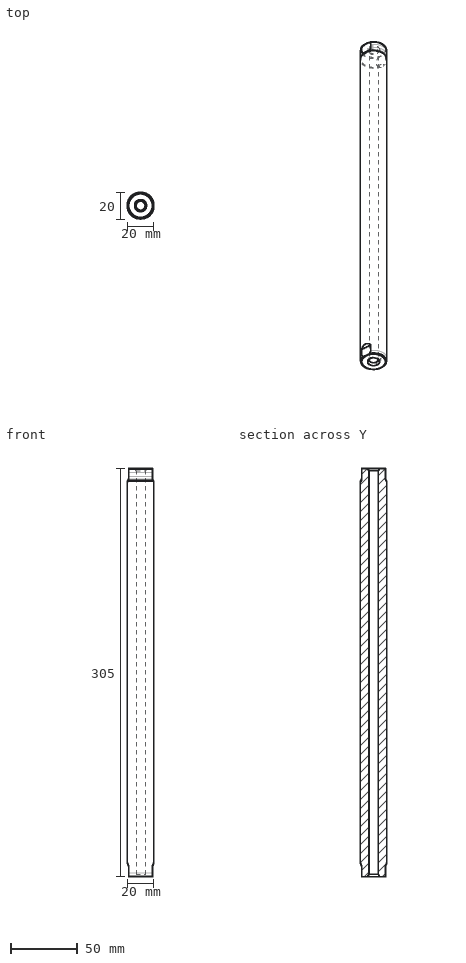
import cadquery as cq

length = 305.0
rod_diameter = 20.0
rod_radius = rod_diameter / 2

end_taper_height = 3.0
end_taper_width = 0.4
end_chamfer_width = 0.8
end_chamfer_height = 0.5

groove_depth_from_top = 6.0
groove_taper_height = 1.7
groove_diameter = 19.3
shoulder_depth = 9.0
shoulder_taper_height = 0.6

bore_diameter = 6.8
mouth_diameter = 9.0
mouth_depth = 1.9

across_flats = 18.0
flat_length = 8.1
top_flat_runout = 2.0
bottom_flat_runout = 2.5


def make_rod():
    """Revolve the rod profile about Z, from the bottom end up."""
    groove_radius = groove_diameter / 2
    taper_radius = rod_radius - end_taper_width
    end_radius = taper_radius - end_chamfer_width
    shoulder_z = length - shoulder_depth
    groove_top_z = length - groove_depth_from_top
    profile = (
        cq.Workplane("XZ")
        .moveTo(0, 0)
        .lineTo(end_radius, 0)
        .lineTo(taper_radius, end_chamfer_height)
        .lineTo(rod_radius, end_taper_height)
        .lineTo(rod_radius, shoulder_z - shoulder_taper_height)
        .lineTo(groove_radius, shoulder_z)
        .lineTo(groove_radius, groove_top_z - groove_taper_height)
        .lineTo(rod_radius, groove_top_z)
        .lineTo(rod_radius, length - end_taper_height)
        .lineTo(taper_radius, length - end_chamfer_height)
        .lineTo(end_radius, length)
        .lineTo(0, length)
        .close()
    )
    return profile.revolve(360, (0, 0, 0), (0, 1, 0))


def make_bore():
    """Cutter for the through bore and its two countersunk mouths."""
    bore_radius = bore_diameter / 2
    mouth_radius = mouth_diameter / 2
    profile = (
        cq.Workplane("XZ")
        .moveTo(0, 0)
        .lineTo(mouth_radius, 0)
        .lineTo(bore_radius, mouth_depth)
        .lineTo(bore_radius, length - mouth_depth)
        .lineTo(mouth_radius, length)
        .lineTo(0, length)
        .close()
    )
    return profile.revolve(360, (0, 0, 0), (0, 1, 0))


def make_flat(side, end_z, inward, runout_length):
    """Cutter for one flat.

    side is -1 for -X or +1 for +X, end_z is the rod end the flat starts from,
    and inward is the Z direction (+1 or -1) leading from that end into the rod.
    """
    flat_x = side * across_flats / 2
    surface_x = side * rod_radius
    flat_end_z = end_z + inward * flat_length
    runout_end_z = flat_end_z + inward * runout_length
    profile = (
        cq.Workplane("XZ")
        .moveTo(flat_x, end_z)
        .lineTo(flat_x, flat_end_z)
        .lineTo(surface_x, runout_end_z)
        .lineTo(surface_x, end_z)
        .close()
    )
    return profile.extrude(rod_radius, both=True)


result = make_rod().cut(make_bore())
for side in (-1, 1):
    result = result.cut(make_flat(side, 0, 1, bottom_flat_runout))
    result = result.cut(make_flat(side, length, -1, top_flat_runout))